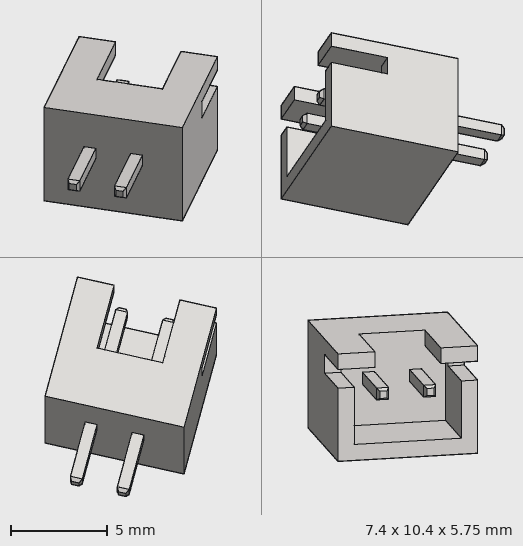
import cadquery as cq

overall_length = 10.4

width = 7.4
height = 5.75
depth = 7.0

side_wall = 0.86
floor_wall = side_wall
roof_wall = 0.83
cavity_front = 3.31
cavity_depth = depth - cavity_front
cavity_width = width - 2 * side_wall
cavity_height = height - roof_wall - floor_wall

notch_width = 3.49
slot_depth = 3.1
slot_height = 1.0

pin_size = 0.63
pin_pitch = 2.5
pin_z = height - 2.37
tail_length = overall_length - depth
contact_length = 3.49
tip_length = 0.21
tip_inset = 0.12


def box(size_x, size_y, size_z, y_start, z_start):
    """Block centred on X, growing along +Y and +Z from its start."""
    return (
        cq.Workplane("XY")
        .box(size_x, size_y, size_z, centered=(True, False, False))
        .translate((0, y_start, z_start))
    )


def make_housing():
    """Shroud with a rear cavity, a roof notch and a slot through both side walls."""
    block = box(width, depth, height, 0, 0)
    cavity = box(cavity_width, cavity_depth, cavity_height, cavity_front, floor_wall)
    notch = box(notch_width, cavity_depth, roof_wall, cavity_front, height - roof_wall)
    slot_z = height - roof_wall - slot_height
    side_slots = box(width, slot_depth, slot_height, depth - slot_depth, slot_z)
    return block.cut(cavity).cut(notch).cut(side_slots)


def make_pin(length, x, y_start, direction):
    """Square pin along Y (direction +1 or -1) with a tapered free end."""
    plane = cq.Plane(origin=(x, y_start, pin_z), xDir=(1, 0, 0), normal=(0, direction, 0))
    shaft = cq.Workplane(plane).rect(pin_size, pin_size).extrude(length)
    end_face = ">Y" if direction > 0 else "<Y"
    return shaft.faces(end_face).chamfer(tip_length, tip_inset)


housing = make_housing()

solder_tails = []
contact_pins = []
for pin_x in (-pin_pitch / 2, pin_pitch / 2):
    solder_tails.append(make_pin(tail_length, pin_x, 0, -1).val())
    contact_pins.append(make_pin(contact_length, pin_x, cavity_front, 1).val())

result = cq.Compound.makeCompound([housing.val(), *solder_tails, *contact_pins])